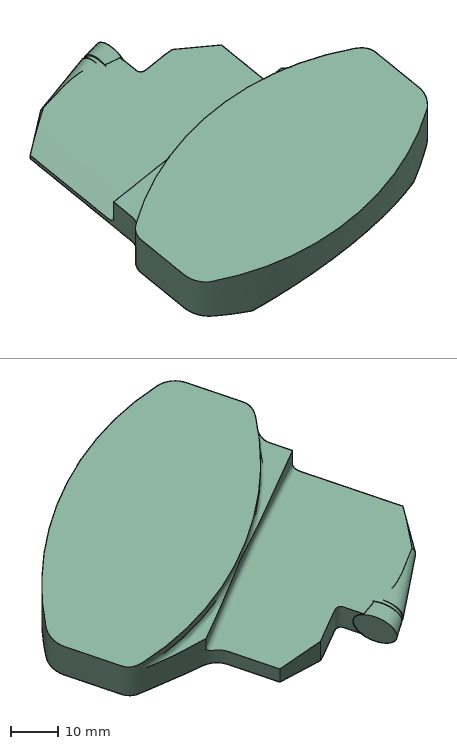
import cadquery as cq
import math


MID_Z = -12.3
HALF_THICKNESS = 4.3
FLAT_HALF_WIDTH = 7.25
BREAK_Y = 24.4
BREAK_HALF_THICKNESS = 1.8
EDGE_HALF_THICKNESS = -0.45

HEAD_RIGHT = 76.35
HEAD_HALF_LENGTH = 35.01
SIDE_RADIUS = 61.1
HEAD_LEFT = 35.65
RIGHT_CORNER_RADIUS = 6.4
LEFT_CORNER_RADIUS = 4.2
LEFT_END_X = 46.9
FLANK_SLOPE = 1.35
BACK_ROOT_RADIUS = 6.1
FRONT_ROOT_RADIUS = 4.6
SHELF_DEPTH = 4.1
STEP_FILLET = 1.7
CHAMFER = 7.25

BLADE_BACK = 18.1
BLADE_FRONT = -30.0
BACK_CORNER_X = 19.55
NOTCH_X = 13.75
NOTCH_TOP = 9.25
NOTCH_FLOOR = -0.2
NOTCH_RADIUS = 1.4
NOSE_TOP_X = -0.45
NOSE_KNEE = (3.8, -20.4)
NOSE_END_X = 10.45
NOSE_RADIUS = 4.3

DISC_RADIUS = 5.05
DISC_BACK_RADIUS = 4.6
DISC_LENGTH = 4.0
NECK_LENGTH = 0.9

MARGIN = 15.3
TOOL_LENGTH = 152.7


def body_outline():
    """Plan outline of blade and lower head, extruded through the full height."""
    arc_drop = SIDE_RADIUS - math.sqrt(SIDE_RADIUS**2 - HEAD_HALF_LENGTH**2)
    right_end_x = HEAD_RIGHT - arc_drop
    back_root_x = LEFT_END_X - (HEAD_HALF_LENGTH - BLADE_BACK) / FLANK_SLOPE
    front_root_x = LEFT_END_X - (HEAD_HALF_LENGTH + BLADE_FRONT) / FLANK_SLOPE

    def round_edge(solid, x, y, radius):
        edge = cq.selectors.NearestToPointSelector((x, y, -MARGIN))
        return solid.edges("|Z").edges(edge).fillet(radius)

    body = (
        cq.Workplane("XY")
        .moveTo(LEFT_END_X, HEAD_HALF_LENGTH)
        .lineTo(right_end_x, HEAD_HALF_LENGTH)
        .threePointArc((HEAD_RIGHT, 0), (right_end_x, -HEAD_HALF_LENGTH))
        .lineTo(LEFT_END_X, -HEAD_HALF_LENGTH)
        .lineTo(front_root_x, BLADE_FRONT)
        .lineTo(NOSE_END_X, BLADE_FRONT)
        .lineTo(*NOSE_KNEE)
        .lineTo(NOSE_TOP_X, NOTCH_FLOOR)
        .lineTo(NOTCH_X, NOTCH_FLOOR)
        .lineTo(NOTCH_X, NOTCH_TOP)
        .lineTo(BACK_CORNER_X, BLADE_BACK)
        .lineTo(back_root_x, BLADE_BACK)
        .close()
        .extrude(-2 * MARGIN)
    )
    for side in (1, -1):
        end_y = side * HEAD_HALF_LENGTH
        body = round_edge(body, right_end_x, end_y, RIGHT_CORNER_RADIUS)
        body = round_edge(body, LEFT_END_X, end_y, LEFT_CORNER_RADIUS)
    body = round_edge(body, back_root_x, BLADE_BACK, BACK_ROOT_RADIUS)
    body = round_edge(body, front_root_x, BLADE_FRONT, FRONT_ROOT_RADIUS)
    return round_edge(body, NOTCH_X, NOTCH_FLOOR, NOTCH_RADIUS)


def facet_points(side):
    """Facet corners from -Y to +Y; side is +1 for the top, -1 for the bottom."""
    half = [
        (FLAT_HALF_WIDTH, HALF_THICKNESS),
        (BREAK_Y, BREAK_HALF_THICKNESS),
        (HEAD_HALF_LENGTH, EDGE_HALF_THICKNESS),
    ]
    right_half = [(y, MID_Z + side * h) for y, h in half]
    left_half = [(-y, z) for y, z in reversed(right_half)]
    return left_half + right_half


def underside_space():
    """Everything below the faceted underside."""
    points = facet_points(-1) + [
        (HEAD_HALF_LENGTH, -3 * MARGIN),
        (-HEAD_HALF_LENGTH, -3 * MARGIN),
    ]
    return cq.Workplane("YZ").polyline(points).close().extrude(TOOL_LENGTH, both=True)


def space_above_blade():
    """Everything above the blade, left of the wall, with the wall fillet."""
    points = facet_points(1) + [(HEAD_HALF_LENGTH, MARGIN), (-HEAD_HALF_LENGTH, MARGIN)]
    space = (
        cq.Workplane("YZ", origin=(HEAD_LEFT, 0, 0))
        .polyline(points)
        .close()
        .extrude(-HEAD_LEFT - MARGIN)
    )
    wall_foot = space.faces(">X").edges("not(|Z)").edges("not(>Z)")
    return space.newObject(wall_foot.vals()).fillet(STEP_FILLET)


def shelf_space():
    """Ring outside the left head arc, down to the shelf, with a rounded foot."""
    arc_centre_x = HEAD_LEFT + SIDE_RADIUS
    outer = SIDE_RADIUS + 2 * MARGIN
    return (
        cq.Workplane("XZ", origin=(arc_centre_x, 0, 0))
        .moveTo(SIDE_RADIUS, MARGIN)
        .lineTo(SIDE_RADIUS, STEP_FILLET - SHELF_DEPTH)
        .radiusArc((SIDE_RADIUS + STEP_FILLET, -SHELF_DEPTH), -STEP_FILLET)
        .lineTo(outer, -SHELF_DEPTH)
        .lineTo(outer, MARGIN)
        .close()
        .revolve(360, (0, 0), (0, 1))
    )


def right_chamfer_space():
    bottom = MID_Z - HALF_THICKNESS
    return (
        cq.Workplane("XZ")
        .moveTo(HEAD_RIGHT - CHAMFER, bottom)
        .lineTo(HEAD_RIGHT, bottom + CHAMFER)
        .lineTo(HEAD_RIGHT, bottom)
        .close()
        .extrude(TOOL_LENGTH / 2, both=True)
    )


def nose_rounding_space(start, end):
    """Material outside a half-round edge that runs from start to end in plan."""
    direction = cq.Vector(end[0] - start[0], end[1] - start[1], 0)
    plane = cq.Plane(
        origin=(start[0], start[1], MID_Z),
        xDir=direction.cross(cq.Vector(0, 0, 1)).multiply(-1).toTuple(),
        normal=direction.toTuple(),
    )
    slab = (
        cq.Workplane(plane)
        .center(NOSE_RADIUS / 2, 0)
        .rect(NOSE_RADIUS, 2 * MARGIN)
        .extrude(2 * MARGIN, both=True)
    )
    bar = (
        cq.Workplane(plane)
        .center(NOSE_RADIUS, 0)
        .circle(NOSE_RADIUS)
        .extrude(2 * MARGIN, both=True)
    )
    return slab.cut(bar)


def make_disc():
    """Tapered cutting disc with its large face at Y = 0."""
    return (
        cq.Workplane("XZ", origin=(DISC_RADIUS, 0, MID_Z))
        .circle(DISC_RADIUS)
        .workplane(offset=DISC_LENGTH)
        .circle(DISC_BACK_RADIUS)
        .loft()
    )


def make_neck():
    """Round collar, as thick as the blade, that carries the back of the disc."""
    return (
        cq.Workplane("XZ", origin=(DISC_RADIUS, -DISC_LENGTH, MID_Z))
        .circle(HALF_THICKNESS)
        .extrude(NECK_LENGTH)
    )


def disc_seat_space():
    """Nose tip removed left of the disc axis, over the disc and the neck."""
    return (
        cq.Workplane("XY", origin=(DISC_RADIUS, -DISC_LENGTH - NECK_LENGTH, MID_Z))
        .box(MARGIN, MARGIN, 2 * MARGIN, centered=(False, False, True))
        .translate((-MARGIN, 0, 0))
    )


def make_holder(disc):
    holder = body_outline().cut(underside_space()).cut(space_above_blade())
    holder = holder.cut(shelf_space()).cut(right_chamfer_space())
    nose_edges = [
        ((NOSE_TOP_X, NOTCH_FLOOR), NOSE_KNEE),
        (NOSE_KNEE, (NOSE_END_X, BLADE_FRONT)),
    ]
    for start, end in nose_edges:
        holder = holder.cut(nose_rounding_space(start, end))
    holder = holder.cut(disc_seat_space()).union(make_neck())
    return holder.cut(disc)


cutting_disc = make_disc()
holder = make_holder(cutting_disc)

result = cq.Compound.makeCompound([holder.val(), cutting_disc.val()])